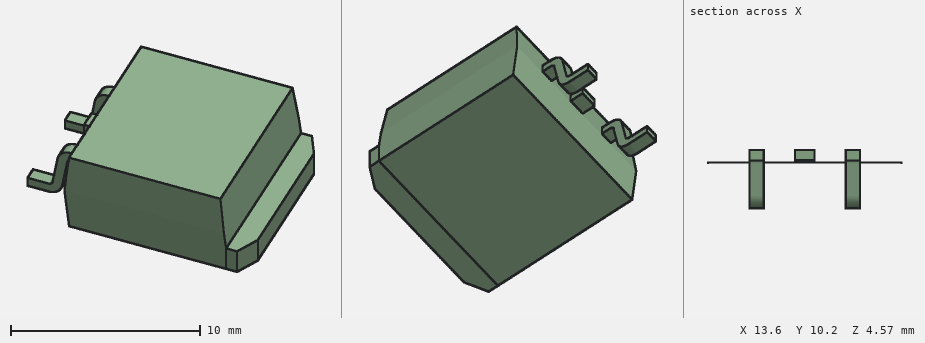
import cadquery as cq
import math

housing_width = 10.2
housing_height = 4.57
parting_height = 2.4
lead_side_x = 3.03
lead_side_bottom_x = 3.3
top_inset = 0.19
tab_side_top_x = 11.89

tab_start_x = 12.3
tab_end_x = 13.57
tab_thickness = 1.42
corner_length = 0.65
corner_width = 1.28

lead_width = 0.76
lead_pitch = 5.08
lead_thickness = 0.55
lead_top = 3.08
foot_corner_x = 1.4
leg_tilt = math.radians(9.5)
bend_inner_radius = 0.2
bend_outer_radius = bend_inner_radius + lead_thickness
stub_width = 1.03
stub_start_x = 2.23


def make_housing():
    """Side outline extruded across the width, with both sides tapered above the parting plane."""
    outline = [
        (lead_side_bottom_x, 0),
        (lead_side_x, parting_height),
        (lead_side_x + top_inset, housing_height),
        (tab_side_top_x, housing_height),
        (tab_start_x, tab_thickness),
        (tab_start_x, 0),
    ]
    block = cq.Workplane("XZ").polyline(outline).close().extrude(housing_width / 2, both=True)

    half_width = housing_width / 2
    half_top = half_width - top_inset
    end_outline = [
        (-half_width, 0),
        (half_width, 0),
        (half_width, parting_height),
        (half_top, housing_height),
        (-half_top, housing_height),
        (-half_width, parting_height),
    ]
    end_profile = cq.Workplane("YZ").polyline(end_outline).close().extrude(tab_end_x)
    return block.intersect(end_profile)


def make_tab():
    """Plate against the housing's tab side, clipped at its outer corners."""
    half_width = housing_width / 2
    outline = [
        (tab_start_x, -half_width),
        (tab_end_x - corner_length, -half_width),
        (tab_end_x, -half_width + corner_width),
        (tab_end_x, half_width - corner_width),
        (tab_end_x - corner_length, half_width),
        (tab_start_x, half_width),
    ]
    return cq.Workplane("XY").polyline(outline).close().extrude(tab_thickness)


def make_lead(center_y):
    """Strip with a flat foot, a leaning leg and a flat shoulder, rounded at both bends."""
    leg_run = lead_thickness / math.cos(leg_tilt)

    def leg_outer_x(z):
        return foot_corner_x + (z - lead_thickness) * math.tan(leg_tilt)

    shoulder_bottom = lead_top - lead_thickness
    foot_inner = (foot_corner_x, lead_thickness)
    foot_outer = (leg_outer_x(0) + leg_run, 0)
    shoulder_inner = (leg_outer_x(shoulder_bottom) + leg_run, shoulder_bottom)
    shoulder_outer = (leg_outer_x(lead_top), lead_top)
    outline = [
        (0, 0),
        foot_outer,
        shoulder_inner,
        (lead_side_x, shoulder_bottom),
        (lead_side_x, lead_top),
        shoulder_outer,
        foot_inner,
        (0, lead_thickness),
    ]
    lead = cq.Workplane("XZ").polyline(outline).close().extrude(lead_width / 2, both=True)

    def round_bend(strip, corner, radius):
        edge = cq.selectors.NearestToPointSelector((corner[0], 0, corner[1]))
        return strip.edges("|Y").edges(edge).fillet(radius)

    for corner in (foot_inner, shoulder_inner):
        lead = round_bend(lead, corner, bend_inner_radius)
    for corner in (foot_outer, shoulder_outer):
        lead = round_bend(lead, corner, bend_outer_radius)
    return lead.translate((0, center_y, 0))


def make_stub():
    """Short straight remainder of the middle lead, level with the lead shoulders."""
    return (
        cq.Workplane("XY")
        .box(lead_side_x - stub_start_x, stub_width, lead_thickness, centered=(False, True, False))
        .translate((stub_start_x, 0, lead_top - lead_thickness))
    )


housing = make_housing()
tab = make_tab()
stub = make_stub()
leads = [make_lead(side * lead_pitch / 2) for side in (-1, 1)]

result = cq.Compound.makeCompound(
    [housing.val(), tab.val(), stub.val(), *[lead.val() for lead in leads]]
)